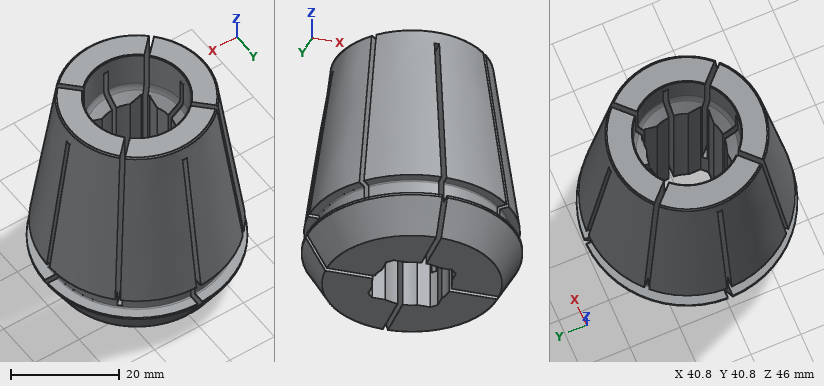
import cadquery as cq
import math

height = 46.0
flange_diameter = 40.8
flange_radius = flange_diameter / 2

nose_half_angle = math.radians(30)
flange_top = 7.0
flange_rim = 0.45
nose_radius = flange_radius - (flange_top - flange_rim) * math.tan(nose_half_angle)

groove_radius = 18.1
groove_top = 11.2
groove_fillet = 0.25

taper_half_angle = math.radians(8)
taper_base_radius = 19.95
taper_top_radius = taper_base_radius - (height - groove_top) * math.tan(taper_half_angle)
top_edge_chamfer = 0.28

bore_radius = 10.05
bore_edge_chamfer = 0.2
bore_floor_rim = 37.35
floor_slope = math.radians(38)
floor_fillet = 1.6

shank_radius = 7.4
square_side = 13.45
square_corner_radius = 8.75

slot_width = 0.95
slots_per_set = 4
slot_overrun = 0.45
nose_slots_end = 43.05
back_slots_floor = 7.5
back_slots_angle = 180 / slots_per_set

match_tolerance = 0.005


def make_body():
    profile = (
        cq.Workplane("XZ")
        .polyline([
            (0, 0),
            (nose_radius, 0),
            (flange_radius, flange_top - flange_rim),
            (flange_radius, flange_top),
            (groove_radius, flange_top),
            (groove_radius, groove_top),
            (taper_base_radius, groove_top),
            (taper_top_radius, height),
            (0, height),
        ])
        .close()
    )
    body = profile.revolve(360, (0, 0, 0), (0, 1, 0))
    body = body.faces(">Z").edges().chamfer(top_edge_chamfer)
    groove_corners = [
        edge for edge in body.edges("%CIRCLE").vals()
        if abs(edge.radius() - groove_radius) < match_tolerance
    ]
    return body.newObject(groove_corners).fillet(groove_fillet)


def make_relief_bore():
    apex = bore_floor_rim - bore_radius * math.tan(floor_slope)
    bore = (
        cq.Workplane("XZ")
        .polyline([
            (0, apex),
            (bore_radius, bore_floor_rim),
            (bore_radius, height - bore_edge_chamfer),
            (bore_radius + bore_edge_chamfer, height),
            (0, height),
        ])
        .close()
        .revolve(360, (0, 0, 0), (0, 1, 0))
    )
    rim = [
        edge for edge in bore.edges("%CIRCLE").vals()
        if abs(edge.Center().z - bore_floor_rim) < match_tolerance
    ]
    return bore.newObject(rim).fillet(floor_fillet)


def make_clamping_hole():
    corner_round = cq.Workplane("XY").circle(square_corner_radius).extrude(bore_floor_rim)
    square = cq.Workplane("XY").rect(square_side, square_side).extrude(bore_floor_rim)
    shank = cq.Workplane("XY").circle(shank_radius).extrude(bore_floor_rim)
    return square.intersect(corner_round).union(shank)


def make_slots(bottom, top, first_angle):
    slot_length = flange_radius + slot_overrun
    slots = cq.Workplane("XY")
    for index in range(slots_per_set):
        slot = (
            cq.Workplane("XY", origin=(0, 0, bottom))
            .rect(slot_length, slot_width)
            .extrude(top - bottom)
            .translate((slot_length / 2, 0, 0))
            .rotate((0, 0, 0), (0, 0, 1), first_angle + index * 360 / slots_per_set)
        )
        slots = slots.union(slot)
    return slots


result = (
    make_body()
    .cut(make_relief_bore())
    .cut(make_clamping_hole())
    .cut(make_slots(0, nose_slots_end, 0))
    .cut(make_slots(back_slots_floor, height, back_slots_angle))
)